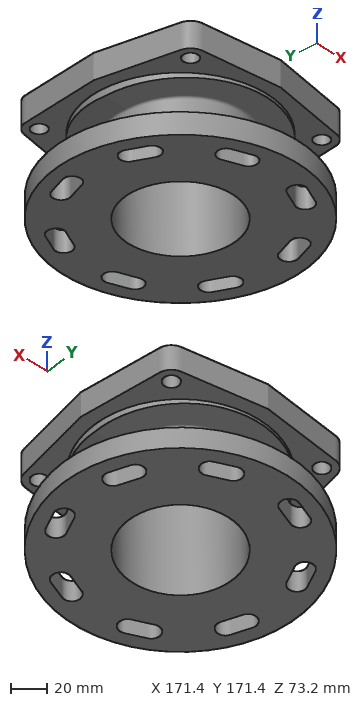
import cadquery as cq
import math

total_height = 73.2
flange_radius = 85.7
flange_thickness = 15.0
plate_thickness = 18.0
bore_radius = 38.0
neck_radius = 44.4

plate_half_width = 72.9
bolt_offset = 55.0
bolt_hole_diameter = 10.6
corner_radius = 10.0

slot_count = 8
slot_circle_radius = 70.0
slot_length = 25.7
slot_width = 12.0

upper_collar_radius = 63.0
upper_ridge_height = 5.3
lower_collar_radius = 49.0
lower_ridge_height = 5.5
roof_slope = 0.048
neck_fillet = 1.4

plate_bottom = total_height - plate_thickness


def roofed_collar(radius, ridge_height, base_z, direction):
    """Disc growing up (+1) or down (-1) from base_z, with a ridge along X."""
    edge_height = ridge_height - roof_slope * radius
    profile = [
        (-radius, base_z),
        (radius, base_z),
        (radius, base_z + direction * edge_height),
        (0, base_z + direction * ridge_height),
        (-radius, base_z + direction * edge_height),
    ]
    roof = cq.Workplane("YZ").polyline(profile).close().extrude(radius, both=True)
    disc = cq.Workplane("XY").circle(radius).extrude(total_height)
    return roof.intersect(disc)


def bolt_plate():
    """Plate whose sides run from the middle points tangent to the corner rounds."""
    bow_height = plate_half_width - bolt_offset
    side_angle = (math.acos(corner_radius / math.hypot(bow_height, bolt_offset))
                  - math.atan2(bolt_offset, bow_height))
    corner = plate_half_width / (1 + math.tan(side_angle))
    outline = [
        (plate_half_width, 0), (corner, corner),
        (0, plate_half_width), (-corner, corner),
        (-plate_half_width, 0), (-corner, -corner),
        (0, -plate_half_width), (corner, -corner),
    ]
    plate = cq.Workplane("XY").workplane(offset=plate_bottom)
    plate = plate.polyline(outline).close().extrude(plate_thickness)
    for sx in (-1, 1):
        for sy in (-1, 1):
            corner_edge = cq.selectors.NearestToPointSelector(
                (sx * corner, sy * corner, plate_bottom + plate_thickness / 2))
            plate = plate.edges("|Z").edges(corner_edge).fillet(corner_radius)
    holes = (
        cq.Workplane("XY").workplane(offset=plate_bottom)
        .rect(2 * bolt_offset, 2 * bolt_offset, forConstruction=True)
        .vertices().circle(bolt_hole_diameter / 2).extrude(plate_thickness)
    )
    return plate.cut(holes)


def slotted_flange():
    flange = cq.Workplane("XY").circle(flange_radius).extrude(flange_thickness)
    slots = (
        cq.Workplane("XY")
        .polarArray(slot_circle_radius, 180 / slot_count, 360, slot_count)
        .slot2D(slot_length, slot_width, 90)
        .extrude(flange_thickness)
    )
    return flange.cut(slots)


def neck_with_collars():
    neck = cq.Workplane("XY").workplane(offset=flange_thickness)
    neck = neck.circle(neck_radius).extrude(plate_bottom - flange_thickness)
    neck = neck.union(roofed_collar(lower_collar_radius, lower_ridge_height, flange_thickness, 1))
    neck = neck.union(roofed_collar(upper_collar_radius, upper_ridge_height, plate_bottom, -1))
    half_space = cq.Workplane("XY").box(
        2 * flange_radius, flange_radius, total_height, centered=(True, False, False))
    half = neck.intersect(half_space)
    reach = neck_radius + neck_fillet
    root_edges = cq.selectors.BoxSelector(
        (-reach, -reach, 0), (reach, reach, total_height), boundingbox=True)
    half = half.edges(root_edges).edges("%ELLIPSE or %BSPLINE").fillet(neck_fillet)
    return half.union(half.mirror("XZ"))


bore = cq.Workplane("XY").circle(bore_radius).extrude(total_height)

result = slotted_flange().union(neck_with_collars()).union(bolt_plate()).cut(bore)